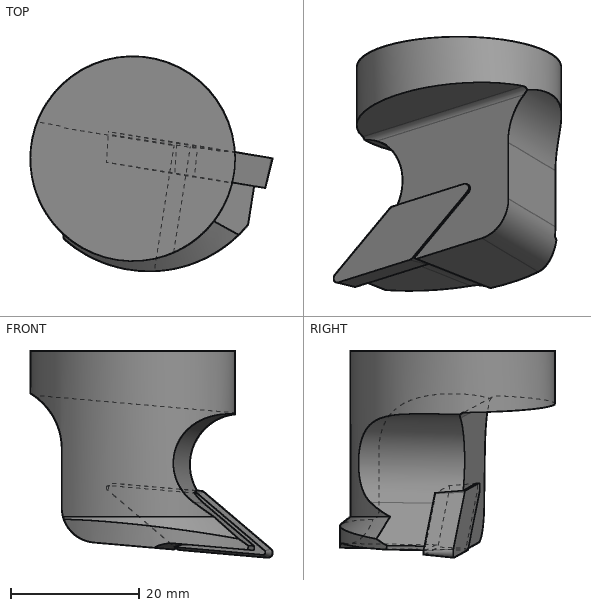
import cadquery as cq
import math

shank_diameter = 32.0
shank_radius = shank_diameter / 2
reach = 75.72

lean = 5.0
turn = 9.0
wall_offset = 3.52

flat_x = -11.1
flat_top_z = -15.25
run_out_radius = 10.0
heel_radius = 5.53
bottom_depth = 30.35

flare_radius = 20.0
flare_center = (2.57, 2.4)
flare_top_z = -25.9
flare_drop = 0.79

ceiling_depth = 8.25
ceiling_fillet = 1.0

gullet_radius = 7.87
gullet_u = 18.45
gullet_v = -16.25
nose_end_u = 22.53

point_angle = 35.0
inscribed_diameter = 9.55
insert_thickness = 4.77
insert_clearance = 5.0
insert_corner_radius = 0.8
insert_proud = 0.4
insert_tip_u = 26.5

relief_arc_end_u = 12.2
relief_radius = 5.0
relief_height = 1.0

lean_sin = math.sin(math.radians(lean))
lean_cos = math.cos(math.radians(lean))
turn_sin = math.sin(math.radians(turn))
turn_cos = math.cos(math.radians(turn))
point_sin = math.sin(math.radians(point_angle))
point_cos = math.cos(math.radians(point_angle))


wall_plane = cq.Plane(
    origin=(0, wall_offset, 0),
    xDir=(turn_cos * lean_cos, -turn_sin, -turn_cos * lean_sin),
    normal=(-turn_sin * lean_cos, -turn_cos, turn_sin * lean_sin),
)


def wall_work(depth=0.0):
    """Workplane parallel to the rear wall, moved towards the front by depth."""
    return cq.Workplane(wall_plane).workplane(offset=depth)


def underside_z(x):
    """Height of the leaned underside at x."""
    return -(bottom_depth + x * lean_sin) / lean_cos


def make_blank():
    """Shank cylinder with an eccentric flare under a cone around the shank axis."""
    shank = cq.Workplane("XY").circle(shank_radius).extrude(-reach)
    cone_radius = flare_radius + shank_radius
    cone_edge_z = flare_top_z - flare_drop * (cone_radius - shank_radius)
    cone = (
        cq.Workplane("XZ")
        .polyline([(0, flare_top_z), (shank_radius, flare_top_z), (cone_radius, cone_edge_z),
                   (cone_radius, -reach), (0, -reach)])
        .close()
        .revolve(360, (0, 0, 0), (0, 1, 0))
    )
    flare = cq.Workplane("XY").center(*flare_center).circle(flare_radius).extrude(-reach)
    return shank.union(flare.intersect(cone))


def make_side_envelope():
    """Outline of the head along Y: run-out arc, flat, heel arc and leaned underside."""
    run_out_width = shank_radius + flat_x
    run_out_rise = math.sqrt(run_out_radius**2 - (run_out_radius - run_out_width) ** 2)
    half_angle = math.acos(1 - run_out_width / run_out_radius) / 2
    run_out_mid = (
        flat_x - run_out_radius * (1 - math.cos(half_angle)),
        flat_top_z + run_out_radius * math.sin(half_angle),
    )
    heel_x = flat_x + heel_radius
    heel_z = underside_z(heel_x) + heel_radius / lean_cos
    heel_mid_angle = math.radians((180 + 270 - lean) / 2)
    heel_mid = (
        heel_x + heel_radius * math.cos(heel_mid_angle),
        heel_z + heel_radius * math.sin(heel_mid_angle),
    )
    return (
        cq.Workplane("XZ")
        .moveTo(-shank_radius, 0)
        .lineTo(-shank_radius, flat_top_z + run_out_rise)
        .threePointArc(run_out_mid, (flat_x, flat_top_z))
        .lineTo(flat_x, heel_z)
        .threePointArc(heel_mid, (heel_x - heel_radius * lean_sin, heel_z - heel_radius * lean_cos))
        .lineTo(reach, underside_z(reach))
        .lineTo(reach, 0)
        .close()
        .extrude(reach, both=True)
    )


def make_rear_cut():
    """Space behind the rear wall, with a rounded corner under the leaned ceiling."""
    ceiling_v = -ceiling_depth * lean_cos
    ceiling_corner = wall_plane.toWorldCoords((0, ceiling_v, 0))
    return (
        wall_work()
        .center(0, ceiling_v - reach / 2)
        .rect(2 * reach, reach)
        .extrude(-reach)
        .edges(cq.selectors.NearestToPointSelector(ceiling_corner))
        .fillet(ceiling_fillet)
    )


def make_gullet():
    """Round chip gullet, open to the right, running tangentially into the nose flank."""
    flank_start = (gullet_u - gullet_radius * point_sin, gullet_v - gullet_radius * point_cos)
    return (
        wall_work(-reach / 2)
        .moveTo(gullet_u, gullet_v + gullet_radius)
        .threePointArc((gullet_u - gullet_radius, gullet_v), flank_start)
        .lineTo(flank_start[0] + reach * point_cos, flank_start[1] - reach * point_sin)
        .lineTo(gullet_u + reach, gullet_v + gullet_radius)
        .close()
        .extrude(reach)
    )


def make_nose_end_cut():
    """Space beyond the blunt end of the nose, below the gullet."""
    return (
        wall_work(-reach / 2)
        .moveTo(nose_end_u, gullet_v)
        .lineTo(nose_end_u + reach, gullet_v)
        .lineTo(nose_end_u + reach, -reach)
        .lineTo(nose_end_u, -reach)
        .close()
        .extrude(reach)
    )


def make_relief():
    """Flat relief under the nose, parallel to the underside and starting in a tangent arc."""
    relief_v = relief_height - bottom_depth
    arc_angle = math.acos(1 - relief_height / relief_radius)
    arc_start_u = relief_arc_end_u - relief_radius * math.sin(arc_angle)
    arc_mid = (
        relief_arc_end_u - relief_radius * math.sin(arc_angle / 2),
        relief_v - relief_radius * (1 - math.cos(arc_angle / 2)),
    )
    return (
        wall_work(-reach / 2)
        .moveTo(arc_start_u, -bottom_depth)
        .threePointArc(arc_mid, (relief_arc_end_u, relief_v))
        .lineTo(reach, relief_v)
        .lineTo(reach, -reach)
        .lineTo(arc_start_u, -reach)
        .close()
        .extrude(reach)
    )


def make_insert():
    """Rhombic insert with rounded corners, narrowing from its rear rake face."""
    side = inscribed_diameter / point_sin
    top_u = insert_tip_u - side * point_cos
    top_v = inscribed_diameter - bottom_depth
    outline = (
        cq.Sketch()
        .polygon([(insert_tip_u, -bottom_depth), (top_u, top_v), (top_u - side, top_v),
                  (insert_tip_u - side, -bottom_depth), (insert_tip_u, -bottom_depth)])
        .vertices()
        .fillet(insert_corner_radius)
    )
    return wall_work(-insert_proud).placeSketch(outline).extrude(insert_thickness, taper=insert_clearance)


def make_head(insert):
    head = make_blank().intersect(make_side_envelope())
    for cutter in (make_rear_cut(), make_gullet(), make_nose_end_cut(), make_relief(), insert):
        head = head.cut(cutter)
    return head


insert = make_insert()
head = make_head(insert)
result = cq.Compound.makeCompound([head.val(), insert.val()])